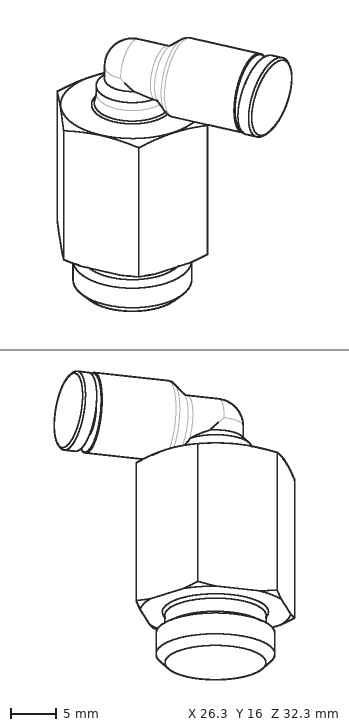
import cadquery as cq
import math


overall_length = 26.32
overall_height = 32.3

thread_radius = 6.6
thread_lead_chamfer = 1.0
thread_top = 3.45
groove_radius = 5.62
groove_bottom = 4.0
groove_top = 5.55
groove_flare_radius = 5.88

across_flats = 16.0
corner_radius = across_flats / math.sqrt(3)
hex_bottom = 5.98
hex_top = 23.0
top_face_radius = 7.95
top_corner_drop = 0.5
bottom_face_radius = 8.35
bottom_corner_drop = 0.32

elbow_radius = 3.1
stem_radius = 4.0
stem_foot_radius = 4.23
stem_seat_radius = 4.52
stem_seat_top = 23.2
stem_foot_top = 24.42
stem_shoulder = 25.4
stem_neck = 26.3

socket_radius = 4.5
arm_axis_z = overall_height - socket_radius
arm_straight_end = 3.65
flare_angle = math.radians(38)
flare_inner_radius = 1.0
flare_outer_radius = 0.8
socket_end = 14.7
socket_chamfer = 0.1

button_neck_radius = 2.7
button_start = 15.55
button_end = overall_length - corner_radius
button_half_width = 5.43
button_half_height = 4.25
button_chamfer = 0.25


def turned_about_z(outline):
    """Turn an outline of (radius, z) points about the stem axis."""
    bottom_z = outline[0][1]
    top_z = outline[-1][1]
    points = [(0, bottom_z), *outline, (0, top_z)]
    return cq.Workplane("XZ").polyline(points).close().revolve(360, (0, 0, 0), (0, 1, 0))


def threaded_end():
    return turned_about_z([
        (thread_radius - thread_lead_chamfer, 0),
        (thread_radius, thread_lead_chamfer),
        (thread_radius, thread_top),
        (groove_radius, groove_bottom),
        (groove_radius, groove_top),
        (groove_flare_radius, hex_bottom),
    ])


def hexagon_body():
    """Hexagonal prism with its corners turned down to a cone at both ends."""
    prism = (
        cq.Workplane("XY")
        .workplane(offset=hex_bottom)
        .polygon(6, 2 * corner_radius)
        .extrude(hex_top - hex_bottom)
    )
    corner_envelope = turned_about_z([
        (bottom_face_radius, hex_bottom),
        (corner_radius, hex_bottom + bottom_corner_drop),
        (corner_radius, hex_top - top_corner_drop),
        (top_face_radius, hex_top),
    ])
    return prism.intersect(corner_envelope)


def swivel_stem():
    return turned_about_z([
        (stem_seat_radius, hex_top),
        (stem_foot_radius, stem_seat_top),
        (stem_radius, stem_foot_top),
        (stem_radius, stem_shoulder),
        (elbow_radius, stem_neck),
        (elbow_radius, arm_axis_z),
    ])


def elbow_ball():
    return cq.Workplane("XY").sphere(elbow_radius).translate((0, 0, arm_axis_z))


def arc_offset(radius, angle):
    """Run and rise of an arc that starts parallel to the arm and turns by the angle."""
    return radius * math.sin(angle), radius * (1 - math.cos(angle))


def arm_and_socket():
    """Arm that flares through two tangent arcs and a cone into the tube socket."""
    inner_mid = arc_offset(flare_inner_radius, flare_angle / 2)
    inner_run, inner_rise = arc_offset(flare_inner_radius, flare_angle)
    outer_mid = arc_offset(flare_outer_radius, flare_angle / 2)
    outer_run, outer_rise = arc_offset(flare_outer_radius, flare_angle)

    cone_start_x = arm_straight_end + inner_run
    cone_start_radius = elbow_radius + inner_rise
    cone_end_radius = socket_radius - outer_rise
    cone_end_x = cone_start_x + (cone_end_radius - cone_start_radius) / math.tan(flare_angle)
    flare_end_x = cone_end_x + outer_run

    return (
        cq.Workplane("XZ", origin=(0, 0, arm_axis_z))
        .lineTo(0, elbow_radius)
        .lineTo(arm_straight_end, elbow_radius)
        .threePointArc(
            (arm_straight_end + inner_mid[0], elbow_radius + inner_mid[1]),
            (cone_start_x, cone_start_radius),
        )
        .lineTo(cone_end_x, cone_end_radius)
        .threePointArc(
            (flare_end_x - outer_mid[0], socket_radius - outer_mid[1]),
            (flare_end_x, socket_radius),
        )
        .lineTo(socket_end - socket_chamfer, socket_radius)
        .lineTo(socket_end, socket_radius - socket_chamfer)
        .lineTo(socket_end, button_neck_radius)
        .lineTo(button_start, button_neck_radius)
        .lineTo(button_start, 0)
        .close()
        .revolve(360, (0, 0, 0), (1, 0, 0))
    )


def release_button():
    return (
        cq.Workplane("YZ", origin=(button_start, 0, arm_axis_z))
        .ellipse(button_half_width, button_half_height)
        .extrude(button_end - button_start)
        .faces(">X")
        .chamfer(button_chamfer)
    )


result = (
    threaded_end()
    .union(hexagon_body())
    .union(swivel_stem())
    .union(elbow_ball())
    .union(arm_and_socket())
    .union(release_button())
)